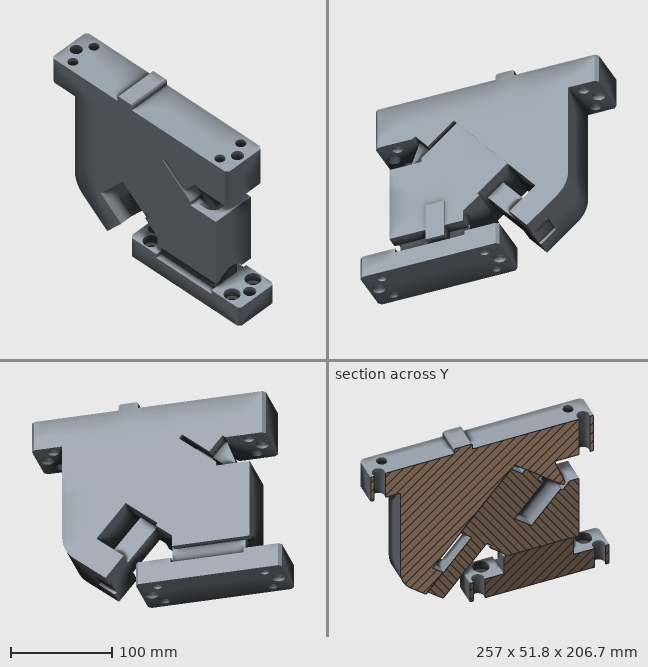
import cadquery as cq
import math

WIDTH = 50.0
MID_Y = WIDTH / 2
CORNER_CHAMFER = 3.0

CAM_ANGLE = math.radians(50)
FOOT_X = 67.0
FOOT_Z = 58.0
COS_CAM = math.cos(CAM_ANGLE)
SIN_CAM = math.sin(CAM_ANGLE)

DOWEL_DIAMETER = 13.0
DOWEL_INSET = 10.0
SCREW_INSET = 19.8
SCREW_SPACING = 30.0

DRIVER_WIDTH = 50.5
DRIVER_LENGTH = 240.3
DRIVER_TOP = 200.0
LEFT_FLANGE_THICKNESS = 32.0
RIGHT_FLANGE_THICKNESS = 46.8
STEM_X = 31.9
STEM_CORNER_RADIUS = 32.0
DRIVER_SCREW_DIAMETER = 11.0
POCKET_LENGTH = 137.0
FOOT_THICKNESS = 29.3
JAW_DEPTH = 36.5
JAW_RELIEF_LENGTH = 158.0
LUG_DEPTH = 68.0
LUG_WIDTH = 24.7
LUG_TOP_X = 198.5
LUG_SLANT = math.radians(20)
TOP_KEY_X = 90.0
TOP_KEY_LENGTH = 20.0
TOP_KEY_HEIGHT = 6.7
TOP_KEY_CHAMFER = 1.5

SLIDE_START = 46.8
SLIDE_END = 131.8
SLIDE_LEFT = 145.0
SLIDE_RIGHT = 224.5
SLIDE_BOTTOM = 38.0
SLIDE_SHOULDER_X = 190.0
SLIDE_SHOULDER_Z = 122.5
LIP_DEPTH = 42.7
LIP_STEP = 3.0
TONGUE_WIDTH = 20.0
TONGUE_THICKNESS = 21.5
TONGUE_GAP = JAW_DEPTH - TONGUE_THICKNESS
TONGUE_RECESS = 3.0
LUG_POCKET_DEPTH = 71.5
LUG_POCKET_WIDTH = 36.0
LUG_POCKET_RADIUS = 10.3
BORE_DIAMETER = 24.2
BORE_AXIS = 56.8
BORE_DEPTH = 2 * BORE_DIAMETER
STOP_X = 165.0
STOP_LENGTH = 20.0
STOP_TOP = 66.8
STOP_OVERHANG = 1.8

BASE_LEFT = 107.0
BASE_RIGHT = 257.0
BASE_THICKNESS = 25.0
NECK_LEFT = 143.5
NECK_RIGHT = 218.5
NECK_FRONT = 7.0
NECK_WIDTH = 30.0
NECK_BACK = NECK_FRONT + NECK_WIDTH
NECK_SHOULDER_Z = 40.9
NECK_TOP = 46.8
NECK_SLOPE_RUN = 11.8
LEDGE_Z = 20.0
BASE_SCREW_DIAMETER = 9.0
COUNTERBORE_DIAMETER = 17.0
COUNTERBORE_DEPTH = 10.0


def cam_point(along, outward):
    """XZ point at a distance along the sliding face and outward from it."""
    x = FOOT_X + along * COS_CAM + outward * SIN_CAM
    z = FOOT_Z + along * SIN_CAM - outward * COS_CAM
    return (x, z)


def prism(points, y_start, y_end):
    """XZ outline extruded along Y."""
    plane = cq.Workplane("XZ", origin=(0, y_start, 0))
    return plane.polyline(points).close().extrude(y_start - y_end)


def cam_block(along, outward, y_start, y_end):
    """Block aligned with the sliding face; along and outward are (from, to) pairs."""
    corners = [
        cam_point(along[0], outward[0]),
        cam_point(along[1], outward[0]),
        cam_point(along[1], outward[1]),
        cam_point(along[0], outward[1]),
    ]
    return prism(corners, y_start, y_end)


def block(x, y, z):
    """Axis-aligned block from (from, to) pairs."""
    size = (x[1] - x[0], y[1] - y[0], z[1] - z[0])
    return cq.Workplane("XY").box(*size, centered=False).translate((x[0], y[0], z[0]))


def end_holes(left, right, top, inset, spacing, diameter, depth):
    """Vertical holes at one inset from both ends; spacing 0 gives one hole per end."""
    offsets = [-spacing / 2, spacing / 2] if spacing else [0]
    places = [(x, MID_Y + dy) for x in (left + inset, right - inset) for dy in offsets]
    return cq.Workplane("XY", origin=(0, 0, top)).pushPoints(places).circle(diameter / 2).extrude(-depth)


def tongue(start):
    """Straight bar parallel to the sliding face, from the given position up to the upper stop face."""
    y_start = MID_Y - TONGUE_WIDTH / 2
    return cam_block((start, POCKET_LENGTH), (TONGUE_GAP, JAW_DEPTH), y_start, y_start + TONGUE_WIDTH)


def make_driver():
    left_flange_z = DRIVER_TOP - LEFT_FLANGE_THICKNESS
    right_flange_z = DRIVER_TOP - RIGHT_FLANGE_THICKNESS
    tip_x, tip_z = cam_point(-FOOT_THICKNESS, JAW_DEPTH)
    stem_bottom_z = tip_z + (tip_x - STEM_X) / math.tan(CAM_ANGLE)
    lug_x, lug_z = cam_point(POCKET_LENGTH, LUG_DEPTH)
    slant = math.tan(LUG_SLANT)
    lug_end = (LUG_TOP_X + (right_flange_z - lug_z) * slant - lug_x) / (COS_CAM + SIN_CAM * slant)
    outline = [
        (0, DRIVER_TOP),
        (0, left_flange_z),
        (STEM_X, left_flange_z),
        (STEM_X, stem_bottom_z),
        (tip_x, tip_z),
        cam_point(0, JAW_DEPTH),
        cam_point(0, 0),
        cam_point(POCKET_LENGTH, 0),
        (lug_x, lug_z),
        cam_point(POCKET_LENGTH + lug_end, LUG_DEPTH),
        (LUG_TOP_X, right_flange_z),
        (DRIVER_LENGTH, right_flange_z),
        (DRIVER_LENGTH, DRIVER_TOP),
    ]
    driver = prism(outline, 0, DRIVER_WIDTH)
    stem_edge = cq.selectors.NearestToPointSelector((STEM_X, DRIVER_WIDTH / 2, stem_bottom_z))
    driver = driver.edges(stem_edge).fillet(STEM_CORNER_RADIUS)
    driver = driver.faces("<X or >X").edges("|Z").chamfer(CORNER_CHAMFER)

    lug_front = MID_Y - LUG_WIDTH / 2
    for y_start, y_end in ((0, lug_front), (lug_front + LUG_WIDTH, DRIVER_WIDTH)):
        relief = cam_block((SLIDE_END, JAW_RELIEF_LENGTH), (JAW_DEPTH, LUG_DEPTH), y_start, y_end)
        driver = driver.cut(relief)

    driver = driver.cut(tongue(-FOOT_THICKNESS))

    top_key = block(
        (TOP_KEY_X, TOP_KEY_X + TOP_KEY_LENGTH),
        (0, DRIVER_WIDTH),
        (DRIVER_TOP, DRIVER_TOP + TOP_KEY_HEIGHT),
    )
    driver = driver.union(top_key.faces(">Z").edges("|Y").chamfer(TOP_KEY_CHAMFER))

    depth = RIGHT_FLANGE_THICKNESS
    driver = driver.cut(end_holes(0, DRIVER_LENGTH, DRIVER_TOP, DOWEL_INSET, 0, DOWEL_DIAMETER, depth))
    screws = end_holes(
        0, DRIVER_LENGTH, DRIVER_TOP, SCREW_INSET, SCREW_SPACING, DRIVER_SCREW_DIAMETER, depth
    )
    return driver.cut(screws)


def make_neck():
    """Roof-shaped guide rail running along X."""
    section = [
        (NECK_FRONT, LEDGE_Z),
        (NECK_FRONT, NECK_SHOULDER_Z),
        (NECK_FRONT + NECK_SLOPE_RUN, NECK_TOP),
        (NECK_BACK - NECK_SLOPE_RUN, NECK_TOP),
        (NECK_BACK, NECK_SHOULDER_Z),
        (NECK_BACK, LEDGE_Z),
    ]
    rail = cq.Workplane("YZ", origin=(NECK_LEFT, 0, 0))
    return rail.polyline(section).close().extrude(NECK_RIGHT - NECK_LEFT)


def make_base():
    base = block((BASE_LEFT, BASE_RIGHT), (0, WIDTH), (0, BASE_THICKNESS))
    base = base.edges("|Z").chamfer(CORNER_CHAMFER)
    ledges = block((NECK_LEFT, NECK_RIGHT), (0, WIDTH), (LEDGE_Z, BASE_THICKNESS))
    base = base.cut(ledges).union(make_neck())

    ends = (BASE_LEFT, BASE_RIGHT, BASE_THICKNESS)
    base = base.cut(end_holes(*ends, DOWEL_INSET, 0, DOWEL_DIAMETER, BASE_THICKNESS))
    base = base.cut(end_holes(*ends, SCREW_INSET, SCREW_SPACING, BASE_SCREW_DIAMETER, BASE_THICKNESS))
    return base.cut(end_holes(*ends, SCREW_INSET, SCREW_SPACING, COUNTERBORE_DIAMETER, COUNTERBORE_DEPTH))


def make_lug_pocket():
    """Round-cornered pocket level with the upper end face that clears the lug."""
    y_start = MID_Y - LUG_POCKET_WIDTH / 2
    pocket = cam_block(
        (SLIDE_END, SLIDE_END + LUG_POCKET_DEPTH),
        (JAW_DEPTH, LUG_POCKET_DEPTH),
        y_start,
        y_start + LUG_POCKET_WIDTH,
    )
    along = cq.Vector(COS_CAM, 0, SIN_CAM)
    outward = cq.Vector(SIN_CAM, 0, -COS_CAM)
    outer_wall = pocket.faces(cq.selectors.DirectionMinMaxSelector(outward))
    return outer_wall.edges(cq.selectors.ParallelDirSelector(along)).fillet(LUG_POCKET_RADIUS)


def make_bore():
    """Blind bore parallel to the sliding face, opening in the lug pocket floor."""
    x, z = cam_point(SLIDE_END, BORE_AXIS)
    mouth = cq.Plane(origin=(x, MID_Y, z), xDir=(0, 1, 0), normal=(COS_CAM, 0, SIN_CAM))
    return cq.Workplane(mouth).circle(BORE_DIAMETER / 2).extrude(-BORE_DEPTH)


def make_slide():
    upper_x, upper_z = cam_point(SLIDE_END, 0)
    lower_x, lower_z = cam_point(SLIDE_START - LIP_STEP, LIP_DEPTH)
    face_slope = 1 / math.tan(CAM_ANGLE)
    outline = [
        cam_point(SLIDE_START, 0),
        (upper_x, upper_z),
        (SLIDE_SHOULDER_X, upper_z - (SLIDE_SHOULDER_X - upper_x) * face_slope),
        (SLIDE_SHOULDER_X, SLIDE_SHOULDER_Z),
        (SLIDE_RIGHT, SLIDE_SHOULDER_Z),
        (SLIDE_RIGHT, SLIDE_BOTTOM),
        (SLIDE_LEFT, SLIDE_BOTTOM),
        (SLIDE_LEFT, lower_z - (SLIDE_LEFT - lower_x) * face_slope),
        (lower_x, lower_z),
        cam_point(SLIDE_START, LIP_DEPTH),
    ]
    slide = prism(outline, 0, WIDTH)
    rail = make_neck()
    slide = slide.cut(rail).cut(rail.translate((SLIDE_RIGHT - NECK_RIGHT, 0, 0)))
    slide = slide.cut(make_lug_pocket()).cut(make_bore())
    slide = slide.union(tongue(TONGUE_RECESS - FOOT_THICKNESS))

    stop = block(
        (STOP_X, STOP_X + STOP_LENGTH),
        (NECK_BACK, WIDTH + STOP_OVERHANG),
        (BASE_THICKNESS, STOP_TOP),
    )
    return slide.union(stop)


driver = make_driver()
slide = make_slide()
base = make_base()
result = cq.Compound.makeCompound([body.solids().val() for body in (driver, slide, base)])